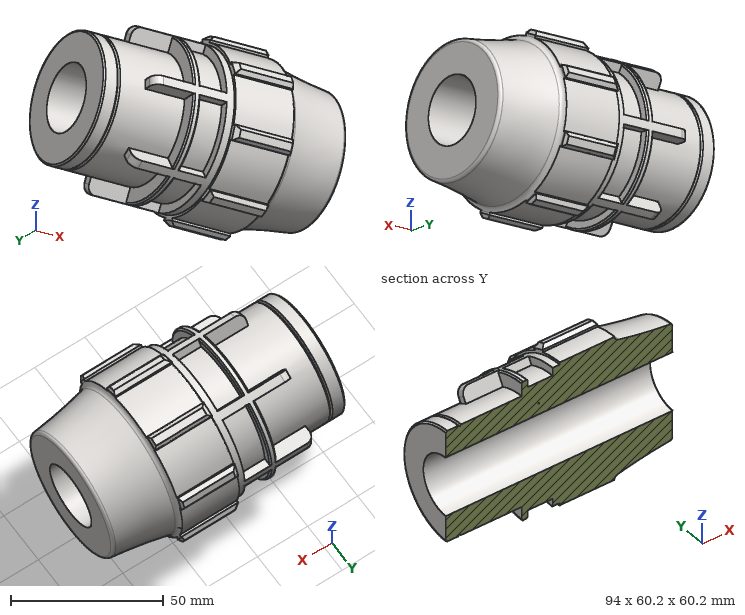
import cadquery as cq
import math

length = 94.0
bore_diameter = 24.12

spigot_radius = 46.08 / 2
edge_chamfer = 0.576
groove_x = 5.76

neck_radius = 25.6

flange_radius = 57.6 / 2
flange_start = 31.4
flange_end = 34.06
collar_start = 44.25

rib_count = 6
rib_start = 16.1
rib_thickness = 3.3
rib_nose_radius = 3.3

clearance = 1.0

nut_start = 47.17
nut_end = 69.9
nut_radius = 29.75

taper_start = 71.6
taper_start_radius = 27.9
taper_middle_radius = 25.75
taper_end_radius = 24.25
end_edge_radius = 1.2

grip_count = 8
grip_root_radius = 28.5
grip_shoulder_radius = 30.5
grip_top_radius = 32.0
grip_root_width = 4.1
grip_shoulder_width = 5.4
grip_top_width = 2.85
grip_end = nut_end
grip_front_bevel = 1.75
grip_back_bevel = 0.65


def make_turned_body():
    """Revolve the spigot and the full sleeve from which ribs, flange and collar are cut."""
    corner_gap = rib_nose_radius * (1 - math.sqrt(0.5))
    return (
        cq.Workplane("XY")
        .moveTo(0, 0)
        .lineTo(0, spigot_radius - edge_chamfer)
        .lineTo(edge_chamfer, spigot_radius)
        .lineTo(groove_x - edge_chamfer, spigot_radius)
        .lineTo(groove_x, spigot_radius - edge_chamfer)
        .lineTo(groove_x + edge_chamfer, spigot_radius)
        .lineTo(rib_start, spigot_radius)
        .lineTo(rib_start, flange_radius - rib_nose_radius)
        .threePointArc(
            (rib_start + corner_gap, flange_radius - corner_gap),
            (rib_start + rib_nose_radius, flange_radius),
        )
        .lineTo(nut_start, flange_radius)
        .lineTo(nut_start, 0)
        .close()
        .revolve(360, (0, 0, 0), (1, 0, 0))
    )


def make_recesses():
    """Make the rings in front of and behind the flange, interrupted where the ribs stand."""
    clear_radius = flange_radius + clearance
    rings = (
        cq.Workplane("XY")
        .moveTo(rib_start - clearance, spigot_radius)
        .lineTo(flange_start, spigot_radius)
        .lineTo(flange_start, flange_radius - edge_chamfer)
        .lineTo(flange_start + edge_chamfer, flange_radius)
        .lineTo(flange_start + edge_chamfer, clear_radius)
        .lineTo(rib_start - clearance, clear_radius)
        .close()
        .moveTo(flange_end, neck_radius)
        .lineTo(collar_start, neck_radius)
        .lineTo(collar_start, clear_radius)
        .lineTo(flange_end - edge_chamfer, clear_radius)
        .lineTo(flange_end - edge_chamfer, flange_radius)
        .lineTo(flange_end, flange_radius - edge_chamfer)
        .close()
        .revolve(360, (0, 0, 0), (1, 0, 0))
    )
    rib_blade = (
        cq.Workplane("XY")
        .box(length, clear_radius + clearance, rib_thickness, centered=(False, False, True))
    )
    for index in range(rib_count):
        rings = rings.cut(rib_blade.rotate((0, 0, 0), (1, 0, 0), index * 360 / rib_count))
    return rings


def make_nut():
    """Revolve the nut, the concave taper behind it and the fillet that blends the two."""
    taper_end = length - end_edge_radius
    taper_middle = (taper_start + taper_end) / 2
    corner_gap = end_edge_radius * (1 - math.sqrt(0.5))
    return (
        cq.Workplane("XY")
        .moveTo(nut_start, 0)
        .lineTo(length, 0)
        .lineTo(length, taper_end_radius - end_edge_radius)
        .threePointArc(
            (length - corner_gap, taper_end_radius - corner_gap),
            (taper_end, taper_end_radius),
        )
        .threePointArc((taper_middle, taper_middle_radius), (taper_start, taper_start_radius))
        .tangentArcPoint((nut_end, nut_radius), relative=False)
        .lineTo(nut_start, nut_radius)
        .close()
        .revolve(360, (0, 0, 0), (1, 0, 0))
    )


def make_grip():
    """Make one nut grip bar along +Y from its cross section and its side profile."""
    half_root = grip_root_width / 2
    half_shoulder = grip_shoulder_width / 2
    half_top = grip_top_width / 2
    bar = (
        cq.Workplane("YZ")
        .workplane(offset=nut_start)
        .polyline([
            (grip_root_radius, -half_root),
            (grip_shoulder_radius, -half_shoulder),
            (grip_top_radius, -half_top),
            (grip_top_radius, half_top),
            (grip_shoulder_radius, half_shoulder),
            (grip_root_radius, half_root),
        ])
        .close()
        .extrude(grip_end - nut_start)
    )
    side_profile = (
        cq.Workplane("XY")
        .polyline([
            (nut_start, grip_root_radius),
            (nut_start, grip_shoulder_radius),
            (nut_start + grip_front_bevel, grip_top_radius),
            (grip_end - grip_back_bevel, grip_top_radius),
            (grip_end, grip_shoulder_radius),
            (grip_end, grip_root_radius),
        ])
        .close()
        .extrude(half_shoulder, both=True)
    )
    return bar.intersect(side_profile)


def add_grips(nut):
    """Join the equally spaced grip bars to the nut, straddling the Y and Z axes."""
    spacing = 360 / grip_count
    grip = make_grip()
    for index in range(grip_count):
        nut = nut.union(grip.rotate((0, 0, 0), (1, 0, 0), (index + 0.5) * spacing))
    return nut


body = make_turned_body().cut(make_recesses())
nut = add_grips(make_nut())
bore = cq.Workplane("YZ").circle(bore_diameter / 2).extrude(length)
result = body.union(nut).cut(bore).clean()